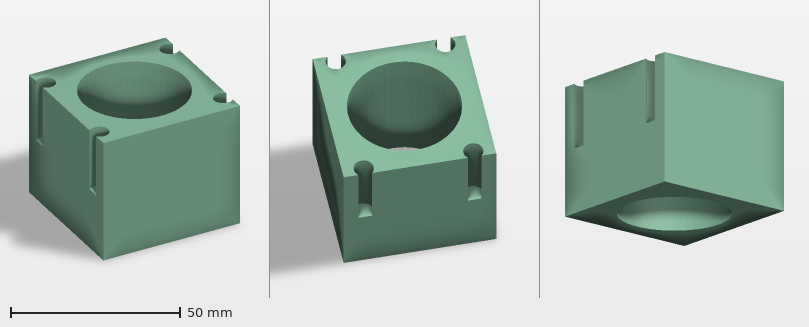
import cadquery as cq

side = 46.0
height = 40.0
bore_diameter = 34.0

notch_diameter = 6.0
notch_depth = 20.0
notch_offset_x = 16.5
notch_offset_y = 20.8

notch_centers = [
    (sign_x * notch_offset_x, sign_y * notch_offset_y)
    for sign_x in (-1, 1)
    for sign_y in (-1, 1)
]

block = cq.Workplane("XY").box(side, side, height, centered=(True, True, False))
bored_block = block.faces(">Z").workplane().hole(bore_diameter)

notches = (
    cq.Workplane("XY")
    .workplane(offset=height - notch_depth)
    .pushPoints(notch_centers)
    .circle(notch_diameter / 2)
    .extrude(notch_depth)
)

result = bored_block.cut(notches)